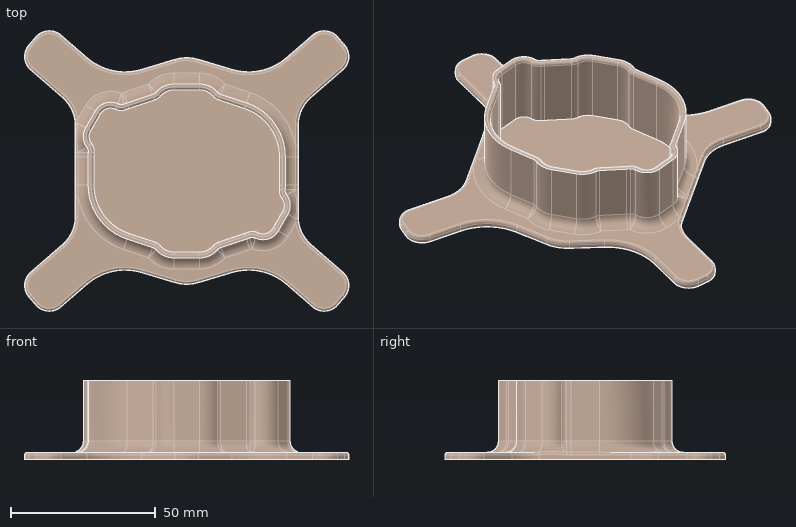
import cadquery as cq
import math

LENGTH = 112.0
WIDTH = 96.9
HEIGHT = 27.5

PLATE_THICKNESS = 2.6
EDGE_ROUND = 1.0
WAIST_X = 38.5
WAIST_RADIUS = 12.5
CREST_Y = 39.8
CREST_ANGLE = 16.7
CREST_RADIUS = 14.0
VALLEY_RADIUS = 20.0
ARM_ANGLE = 41.0
ARM_WIDTH = 15.9
ARM_TIP_RADIUS = 6.0

TOUCH_TOLERANCE = 0.001

WALL = 2.0
RIM_ROUND = 1.0
FLOOR_THICKNESS = 1.0
FLARE_RADIUS = 3.8
BLEND_RADIUS = 2.2
BODY_X = 34.1
BODY_CORNER_Y = 19.0
BODY_CORNER_RADIUS = 19.6
BODY_CREST_Y = 30.4
BODY_CREST_RADIUS = 11.2
END_LOBE_Y = 30.0
END_LOBE_HALF_FLAT = 4.5
END_LOBE_RADIUS = 8.1
CORNER_LOBE_RADIUS = 6.0
CORNER_LOBE_UPPER = (-26.3, 17.7)
CORNER_LOBE_LOWER = (-29.7, 11.9)


def direction(degrees):
    """Return the unit vector in XY at an angle from +X."""
    angle = math.radians(degrees)
    return cq.Vector(math.cos(angle), math.sin(angle))


def crossing(point_a, dir_a, point_b, dir_b):
    """Return the point where two lines, each given by a point and a direction, cross."""
    gap = point_b - point_a
    along = gap.cross(dir_b).z / dir_a.cross(dir_b).z
    return point_a + dir_a * along


def rounded_outline(corners):
    """Return a closed outline through (point, radius) corners, each rounded by a tangent arc."""
    arcs = []
    for i, (point, radius) in enumerate(corners):
        to_last = (corners[i - 1][0] - point).normalized()
        to_next = (corners[(i + 1) % len(corners)][0] - point).normalized()
        half_angle = to_last.getAngle(to_next) / 2
        setback = radius / math.tan(half_angle)
        inward = (to_last + to_next).normalized()
        middle = point + inward * (radius / math.sin(half_angle) - radius)
        arcs.append((point + to_last * setback, middle, point + to_next * setback))
    outline = cq.Workplane("XY").moveTo(*arcs[-1][2].toTuple()[:2])
    for start, middle, end in arcs:
        outline = outline.lineTo(start.x, start.y)
        outline = outline.threePointArc((middle.x, middle.y), (end.x, end.y))
    return outline.close()


def half_turn(corners):
    """Return the (point, radius) corners turned half a turn about the origin."""
    return [(point * -1, radius) for point, radius in corners]


def plate_corners():
    """Return all plate corners counterclockwise, mirrored from the +X +Y quarter."""
    along = direction(ARM_ANGLE)
    across = direction(ARM_ANGLE + 90)
    tip_flat = ARM_WIDTH - 2 * ARM_TIP_RADIUS
    reach_x = LENGTH / 2 - ARM_TIP_RADIUS
    reach_y = WIDTH / 2 - ARM_TIP_RADIUS
    lower_center = cq.Vector(reach_x, reach_y - tip_flat * across.y)
    upper_center = cq.Vector(reach_x + tip_flat * across.x, reach_y)
    lower_tip = lower_center + (along - across) * ARM_TIP_RADIUS
    upper_tip = upper_center + (along + across) * ARM_TIP_RADIUS

    crest = cq.Vector(0, CREST_Y)
    waist = crossing(cq.Vector(WAIST_X, 0), direction(90), lower_tip, along)
    valley = crossing(crest, direction(-CREST_ANGLE), upper_tip, along)
    quarter = [
        (waist, WAIST_RADIUS),
        (lower_tip, ARM_TIP_RADIUS),
        (upper_tip, ARM_TIP_RADIUS),
        (valley, VALLEY_RADIUS),
    ]
    mirrored = [(cq.Vector(-p.x, p.y), r) for p, r in reversed(quarter)]
    upper_half = quarter + [(crest, CREST_RADIUS)] + mirrored
    return upper_half + half_turn(upper_half)


def body():
    """Prism of the main body: a rounded hexagon whose crests hide inside the end lobes."""
    corner = cq.Vector(BODY_X, BODY_CORNER_Y)
    upper_left = cq.Vector(-BODY_X, BODY_CORNER_Y)
    crest = cq.Vector(0, BODY_CREST_Y)
    upper_half = [
        (corner, BODY_CORNER_RADIUS),
        (crest, BODY_CREST_RADIUS),
        (upper_left, BODY_CORNER_RADIUS),
    ]
    return rounded_outline(upper_half + half_turn(upper_half)).extrude(HEIGHT)


def lobe(center_a, center_b, radius):
    """Prism of a round-ended slot between two centres."""
    step = cq.Vector(*center_b) - cq.Vector(*center_a)
    middle = (cq.Vector(*center_a) + cq.Vector(*center_b)) * 0.5
    angle = math.degrees(math.atan2(step.y, step.x))
    return (
        cq.Workplane("XY")
        .center(middle.x, middle.y)
        .slot2D(step.Length + 2 * radius, 2 * radius, angle)
        .extrude(HEIGHT)
    )


def cup_outline():
    """Closed outline of the cup, with the lobes blended into the body."""
    end_y = END_LOBE_Y - END_LOBE_RADIUS
    end_lobe = lobe((-END_LOBE_HALF_FLAT, end_y), (END_LOBE_HALF_FLAT, end_y), END_LOBE_RADIUS)
    corner_lobe = lobe(CORNER_LOBE_UPPER, CORNER_LOBE_LOWER, CORNER_LOBE_RADIUS)
    lobes = end_lobe.union(corner_lobe)
    opposite_lobes = lobes.rotate((0, 0, 0), (0, 0, 1), 180)
    sharp = body().union(lobes).union(opposite_lobes).faces("<Z").wires().val()
    return sharp.offset2D(BLEND_RADIUS)[0].offset2D(-BLEND_RADIUS)[0]


def prism(outline, base, height):
    """Vertical prism of an outline standing at a base level."""
    return cq.Workplane("XY").add(outline).toPending().extrude(height).translate((0, 0, base))


def flared_cup(outline):
    """Solid cup blank on an oversized slab, flared where the two meet."""
    slab = cq.Workplane("XY").box(2 * LENGTH, 2 * LENGTH, PLATE_THICKNESS, centered=(True, True, False))
    blank = slab.union(prism(outline, 0, HEIGHT))
    cup_foot = cq.selectors.BoxSelector(
        (-LENGTH / 2, -LENGTH / 2, 0),
        (LENGTH / 2, LENGTH / 2, 2 * PLATE_THICKNESS),
    )
    return blank.edges(cup_foot).fillet(FLARE_RADIUS)


def round_plate_edge(part, outline):
    """Round the upper edge of the part that follows the plate outline."""
    border = outline.wires().val()

    def on_upper_border(edge):
        middle = edge.positionAt(0.5)
        shadow = cq.Vertex.makeVertex(middle.x, middle.y, 0)
        return middle.z > PLATE_THICKNESS - EDGE_ROUND and shadow.distance(border) < TOUCH_TOLERANCE

    return part.edges().filter(on_upper_border).fillet(EDGE_ROUND)


cup = cup_outline()
plate = rounded_outline(plate_corners())
part = flared_cup(cup).intersect(plate.extrude(HEIGHT))
part = round_plate_edge(part, plate)
part = part.cut(prism(cup.offset2D(-WALL)[0], FLOOR_THICKNESS, HEIGHT))

rim_inner_edges = part.faces(">Z").val().innerWires()[0].Edges()
result = part.newObject(rim_inner_edges).fillet(RIM_ROUND)